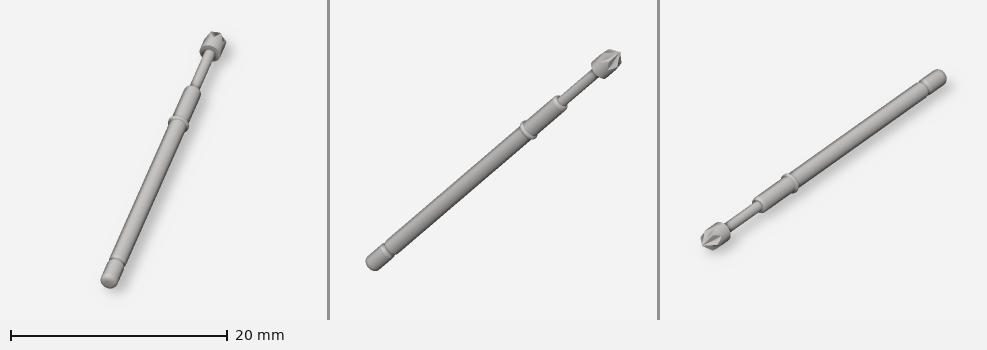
import cadquery as cq
import math


total_length = 35.7
tip_y = total_length / 2
tail_y = -total_length / 2
head_back_y = tip_y - 3.0
barrel_front_y = tip_y - 8.32
collar_y = tip_y - 13.05
groove_tail_edge_y = tail_y + 2.5
groove_width = 0.68

head_radius = 1.0
plunger_radius = 0.5
barrel_radius = 0.82
collar_radius = 1.0
collar_bead_radius = 0.25
tail_round_radius = 0.45

rim_length = 0.32
rim_drop = 0.15

ridge_count = 6
ridge_depth = head_radius
valley_depth = 1.82


def rim_mid_point(tangent_y, direction):
    """Middle of a rim arc that leaves the barrel wall tangentially toward direction (+1 or -1 along Y)."""
    arc_radius = (rim_length**2 + rim_drop**2) / (2 * rim_drop)
    half_angle = math.asin(rim_length / arc_radius) / 2
    radius = barrel_radius - arc_radius * (1 - math.cos(half_angle))
    return radius, tangent_y + direction * arc_radius * math.sin(half_angle)


def make_barrel():
    """Turned barrel with a rolled mouth, a crimp groove and a rounded tail."""
    rim_radius = barrel_radius - rim_drop
    mouth_tangent_y = barrel_front_y - rim_length
    groove_front_y = groove_tail_edge_y + groove_width
    groove_bottom_y = groove_front_y - rim_length
    round_center_radius = barrel_radius - tail_round_radius
    round_center_y = tail_y + tail_round_radius
    round_mid_offset = tail_round_radius * math.sqrt(0.5)
    round_mid = (round_center_radius + round_mid_offset, round_center_y - round_mid_offset)
    return (
        cq.Workplane("XY")
        .moveTo(0, tail_y)
        .lineTo(round_center_radius, tail_y)
        .threePointArc(round_mid, (barrel_radius, round_center_y))
        .lineTo(barrel_radius, groove_tail_edge_y)
        .lineTo(rim_radius, groove_bottom_y)
        .threePointArc(rim_mid_point(groove_front_y, -1), (barrel_radius, groove_front_y))
        .lineTo(barrel_radius, mouth_tangent_y)
        .threePointArc(rim_mid_point(mouth_tangent_y, 1), (rim_radius, barrel_front_y))
        .lineTo(0, barrel_front_y)
        .close()
        .revolve(360, (0, 0, 0), (0, 1, 0))
    )


def make_collar():
    """Round bead that runs around the barrel."""
    bead_center_radius = collar_radius - collar_bead_radius
    return (
        cq.Workplane("XY")
        .moveTo(0, collar_y - collar_bead_radius)
        .lineTo(bead_center_radius, collar_y - collar_bead_radius)
        .threePointArc((collar_radius, collar_y), (bead_center_radius, collar_y + collar_bead_radius))
        .lineTo(0, collar_y + collar_bead_radius)
        .close()
        .revolve(360, (0, 0, 0), (0, 1, 0))
    )


def rod(radius, start_y, end_y):
    """Cylinder along Y between two stations."""
    return cq.Workplane("XZ", origin=(0, end_y, 0)).circle(radius).extrude(end_y - start_y)


def make_star_point():
    """Pyramid on a star base, as long as the head, with its apex at the tip."""
    height = tip_y - head_back_y
    ridge_base_radius = height * head_radius / ridge_depth
    valley_base_radius = height * head_radius / valley_depth
    corners = []
    for index in range(2 * ridge_count):
        angle = index * math.pi / ridge_count
        radius = ridge_base_radius if index % 2 == 0 else valley_base_radius
        corners.append(cq.Vector(radius * math.cos(angle), head_back_y, radius * math.sin(angle)))

    apex = cq.Vector(0, tip_y, 0)
    faces = [cq.Face.makeFromWires(cq.Wire.makePolygon(corners, close=True))]
    for corner, next_corner in zip(corners, corners[1:] + corners[:1]):
        faces.append(cq.Face.makeFromWires(cq.Wire.makePolygon([corner, next_corner, apex], close=True)))
    return cq.Workplane("XY").add(cq.Solid.makeSolid(cq.Shell.makeShell(faces)))


head = rod(head_radius, head_back_y, tip_y).intersect(make_star_point())
plunger = rod(plunger_radius, barrel_front_y, head_back_y)

result = make_barrel().union(make_collar()).union(plunger).union(head)